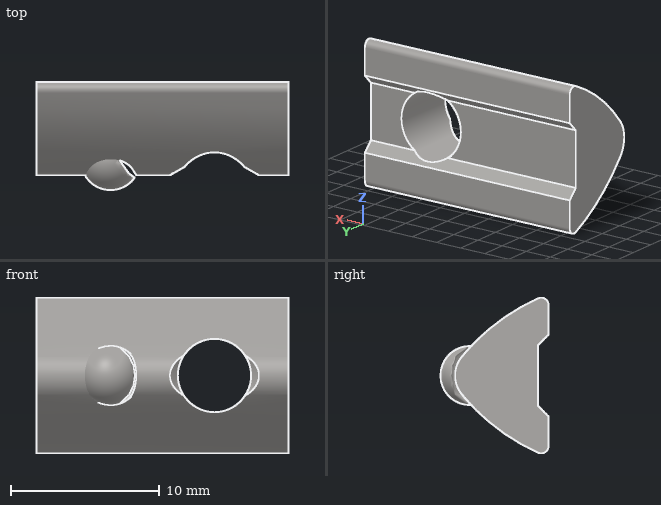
import cadquery as cq
import math

length = 17.0
height = 10.5
depth = 6.3

corner_radius = 0.5
nose_radius = 2.0
flank_radius = 14.0

groove_depth = 0.7
groove_mouth_width = 5.5
groove_floor_width = groove_mouth_width - 2 * groove_depth

hole_x = 12.0
hole_diameter = 4.92
countersink_diameter = 6.0
countersink_depth = (countersink_diameter - hole_diameter) / 2

ball_x = 5.0
ball_radius = 2.0
ball_projection = 1.0


def point_on_circle(center, radius, angle):
    """Point (y, z) on a circle in the cross-section plane."""
    return (center[0] + radius * math.cos(angle), center[1] + radius * math.sin(angle))


def direction(start, end):
    """Angle of the line from start to end."""
    return math.atan2(end[1] - start[1], end[0] - start[0])


def make_body():
    """Bar whose bulging flanks are tangent to the nose and corner rounds."""
    half_height = height / 2
    nose_center = (nose_radius - depth, 0.0)
    corner_center = (-corner_radius, half_height - corner_radius)

    center_distance = math.dist(nose_center, corner_center)
    nose_reach = flank_radius - nose_radius
    corner_reach = flank_radius - corner_radius
    cosine = (nose_reach**2 + center_distance**2 - corner_reach**2) / (2 * nose_reach * center_distance)
    center_angle = direction(nose_center, corner_center) - math.acos(cosine)
    flank_center = point_on_circle(nose_center, nose_reach, center_angle)

    nose_angle = direction(flank_center, nose_center)
    corner_angle = direction(flank_center, corner_center)
    flank_nose_end = point_on_circle(flank_center, flank_radius, nose_angle)
    flank_middle = point_on_circle(flank_center, flank_radius, (nose_angle + corner_angle) / 2)
    flank_corner_end = point_on_circle(flank_center, flank_radius, corner_angle)
    corner_middle = point_on_circle(corner_center, corner_radius, corner_angle / 2)

    def mirrored(point):
        return (point[0], -point[1])

    corner_back_end = (0.0, corner_center[1])
    groove_mouth = (0.0, groove_mouth_width / 2)
    groove_floor = (-groove_depth, groove_floor_width / 2)
    return (
        cq.Workplane("YZ")
        .moveTo(*groove_floor)
        .lineTo(*groove_mouth)
        .lineTo(*corner_back_end)
        .threePointArc(corner_middle, flank_corner_end)
        .threePointArc(flank_middle, flank_nose_end)
        .threePointArc((-depth, 0.0), mirrored(flank_nose_end))
        .threePointArc(mirrored(flank_middle), mirrored(flank_corner_end))
        .threePointArc(mirrored(corner_middle), mirrored(corner_back_end))
        .lineTo(*mirrored(groove_mouth))
        .lineTo(*mirrored(groove_floor))
        .close()
        .extrude(length)
    )


def make_hole_cutter():
    """Through hole along Y and the cone that opens it at the nose."""
    nose_point = cq.Vector(hole_x, -depth, 0)
    inward = cq.Vector(0, 1, 0)
    bore = cq.Solid.makeCylinder(hole_diameter / 2, depth, nose_point, inward)
    cone = cq.Solid.makeCone(
        countersink_diameter / 2, hole_diameter / 2, countersink_depth, nose_point, inward
    )
    return cq.Workplane(obj=bore).union(cq.Workplane(obj=cone))


def make_ball():
    ball_y = ball_radius - depth - ball_projection
    return cq.Workplane("XY").sphere(ball_radius).translate((ball_x, ball_y, 0))


result = make_body().cut(make_hole_cutter()).union(make_ball())